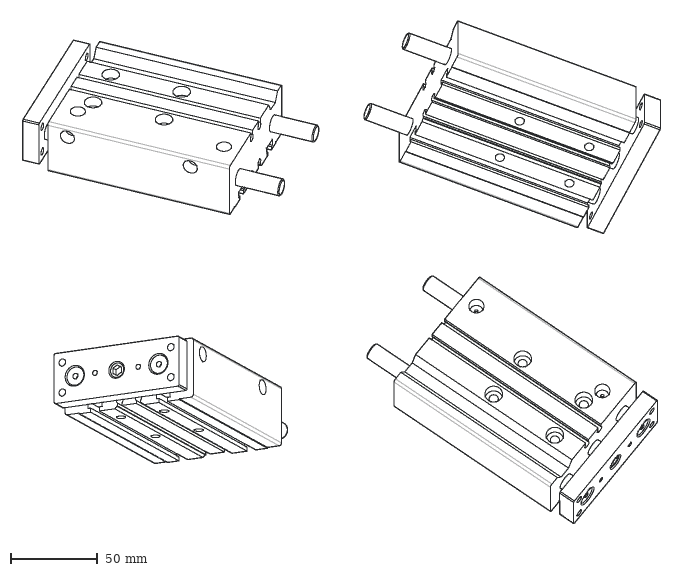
import cadquery as cq
import math

total_length = 155.0
body_width = 83.0
body_height = 36.0
body_start = 16.0
body_length = 112.2
body_top = body_height / 2
body_half_width = body_width / 2
edge_radius = 1.5

plate_thickness = 10.0
plate_width = 80.9
plate_height = 30.0
plate_edge_chamfer = 0.8
corner_hole_diameter = 4.2
corner_hole_y = 35.0
corner_hole_z = 9.0
dowel_hole_diameter = 3.0
dowel_hole_depth = 4.6

rod_diameter = 10.0
guide_rod_y = 27.0
rod_end_chamfer = 0.6
piston_rod_end = 46.5
recess_depth = 0.8
guide_recess_diameter = 12.4
guide_center_hole_diameter = 3.3
guide_center_hole_depth = 4.6
piston_recess_diameter = 10.0
hex_across_flats = 5.5
hex_sides = 6
hex_depth = 3.9

mount_hole_diameter = 5.3
mount_counterbore_diameter = 10.0
mount_counterbore_depth = 6.5
mount_hole_y = 14.0
mount_hole_x = (33.2, 77.0)

port_mouth_diameter = 8.7
port_floor_diameter = 7.6
port_depth = 7.0
port_passage_diameter = 2.0
port_passage_depth = 2.3
front_port_x = 28.0
top_ports_x = (front_port_x, 118.4)
side_ports_x = (front_port_x, 104.0)
top_port_y = -25.0
side_port_z = 11.2

sensor_groove_y = 6.0
sensor_mouth_width = 2.8
sensor_channel_diameter = 4.2
sensor_channel_z = 13.3

v_groove_outer_y = 34.7
v_groove_floor_outer_y = 31.0
v_groove_floor_inner_y = 23.9
v_groove_inner_y = 20.6
v_groove_depth = 5.7

pad_outer_y = 32.4
pad_height = 0.5
center_recess_half_width = 9.3
center_recess_depth = 1.4
t_slot_y = 22.0
t_slot_mouth_width = 5.6
t_slot_mouth_depth = 2.5
t_slot_head_width = 8.8
t_slot_head_height = 4.2


def along_x(start, length, sketch):
    """Extrude a sketch of the YZ plane along X; the sketch receives the workplane."""
    return sketch(cq.Workplane("YZ", origin=(start, 0, 0))).extrude(length)


def along_body(sketch):
    """Extrude a YZ sketch over the full length of the body."""
    return along_x(body_start, body_length, sketch)


def rod(y, start, end):
    """Plain cylinder along X at height zero."""
    return along_x(start, end - start, lambda plane: plane.center(y, 0).circle(rod_diameter / 2))


def body_bar(y, z_low, z_high, width):
    """Rectangular bar along the whole body, centred on y."""
    return along_body(
        lambda plane: plane.center(y, (z_low + z_high) / 2).rect(width, z_high - z_low)
    )



def body_blank():
    """Block with rounded long edges, standing on a slightly raised pad."""
    block_bottom = -body_top + pad_height
    block = body_bar(0, block_bottom, body_top, body_width).edges("|X").fillet(edge_radius)
    pad = body_bar(0, -body_top, 0, 2 * pad_outer_y)
    return block.union(pad)


def v_groove():
    floor_z = body_top - v_groove_depth
    points = [
        (v_groove_outer_y, body_top),
        (v_groove_floor_outer_y, floor_z),
        (v_groove_floor_inner_y, floor_z),
        (v_groove_inner_y, body_top),
    ]
    return along_body(lambda plane: plane.polyline(points).close())


def center_recess():
    """Shallow recess with 45 degree sides along the middle of the underside."""
    floor_half_width = center_recess_half_width - center_recess_depth
    floor_z = -body_top + center_recess_depth
    points = [
        (-center_recess_half_width, -body_top),
        (-floor_half_width, floor_z),
        (floor_half_width, floor_z),
        (center_recess_half_width, -body_top),
    ]
    return along_body(lambda plane: plane.polyline(points).close())


def sensor_groove(y, side):
    """Sensor groove on the top (side = 1) or the underside (side = -1)."""
    channel_z = side * sensor_channel_z
    z_low, z_high = sorted((channel_z, side * body_top))
    channel = along_body(
        lambda plane: plane.center(y, channel_z).circle(sensor_channel_diameter / 2)
    )
    return body_bar(y, z_low, z_high, sensor_mouth_width).union(channel)


def t_slot(y):
    lip_z = -body_top + t_slot_mouth_depth
    mouth = body_bar(y, -body_top, lip_z, t_slot_mouth_width)
    head = body_bar(y, lip_z, lip_z + t_slot_head_height, t_slot_head_width)
    return mouth.union(head)


def air_port(position, direction):
    """Tapered bore and its drilled passage, going inwards from position."""
    start = cq.Vector(*position)
    inward = cq.Vector(*direction)
    bore = cq.Solid.makeCone(
        port_mouth_diameter / 2, port_floor_diameter / 2, port_depth, start, inward
    )
    passage = cq.Solid.makeCylinder(
        port_passage_diameter / 2, port_depth + port_passage_depth, start, inward
    )
    return cq.Workplane(bore.fuse(passage))


def make_body():
    body = body_blank().cut(v_groove()).cut(center_recess())

    for y in (-sensor_groove_y, sensor_groove_y):
        for side in (-1, 1):
            body = body.cut(sensor_groove(y, side))

    for y in (-t_slot_y, t_slot_y):
        body = body.cut(t_slot(y))

    mount_points = [(x, y) for x in mount_hole_x for y in (-mount_hole_y, mount_hole_y)]
    body = (
        body.copyWorkplane(cq.Workplane("XY", origin=(0, 0, body_top)))
        .pushPoints(mount_points)
        .cboreHole(mount_hole_diameter, mount_counterbore_diameter, mount_counterbore_depth)
    )

    for x in top_ports_x:
        body = body.cut(air_port((x, top_port_y, body_top), (0, 0, -1)))
    for x in side_ports_x:
        body = body.cut(air_port((x, -body_half_width, side_port_z), (0, 1, 0)))

    for y in (-guide_rod_y, guide_rod_y):
        body = body.cut(rod(y, body_start, body_start + body_length))
    return body.cut(rod(0, body_start, piston_rod_end))



def plate_blank():
    plate = along_x(0, plate_thickness, lambda plane: plane.rect(plate_width, plate_height))
    return plate.edges("|X").chamfer(plate_edge_chamfer)


def conical_recess(y, mouth_diameter):
    """Flat-bottomed recess with 45 degree sides in the front face of the plate."""
    mouth_radius = mouth_diameter / 2
    cone = cq.Solid.makeCone(
        mouth_radius, mouth_radius - recess_depth, recess_depth, cq.Vector(0, y, 0), cq.Vector(1, 0, 0)
    )
    return cq.Workplane(cone)


def front_hole(y, z, diameter, depth):
    """Round hole going in from the front face of the plate."""
    return along_x(0, depth, lambda plane: plane.center(y, z).circle(diameter / 2))


def hex_socket():
    """Hexagonal socket with two corners pointing up and down."""
    corner_radius = hex_across_flats / math.sqrt(3)
    angles = [2 * math.pi * i / hex_sides for i in range(hex_sides)]
    corners = [(corner_radius * math.sin(a), corner_radius * math.cos(a)) for a in angles]
    return along_x(0, recess_depth + hex_depth, lambda plane: plane.polyline(corners).close())


def make_slide():
    slide = plate_blank().union(rod(0, plate_thickness, piston_rod_end))
    for y in (-guide_rod_y, guide_rod_y):
        guide_rod = rod(y, plate_thickness, total_length).faces(">X").chamfer(rod_end_chamfer)
        center_hole_depth = recess_depth + guide_center_hole_depth
        slide = (
            slide.union(guide_rod)
            .cut(conical_recess(y, guide_recess_diameter))
            .cut(front_hole(y, 0, guide_center_hole_diameter, center_hole_depth))
        )

    slide = slide.cut(conical_recess(0, piston_recess_diameter)).cut(hex_socket())

    for y in (-corner_hole_y, corner_hole_y):
        for z in (-corner_hole_z, corner_hole_z):
            slide = slide.cut(front_hole(y, z, corner_hole_diameter, plate_thickness))
    for y in (-mount_hole_y, mount_hole_y):
        slide = slide.cut(front_hole(y, 0, dowel_hole_diameter, dowel_hole_depth))
    return slide


body = make_body()
slide = make_slide()

result = cq.Compound.makeCompound([body.solids().val(), slide.solids().val()])